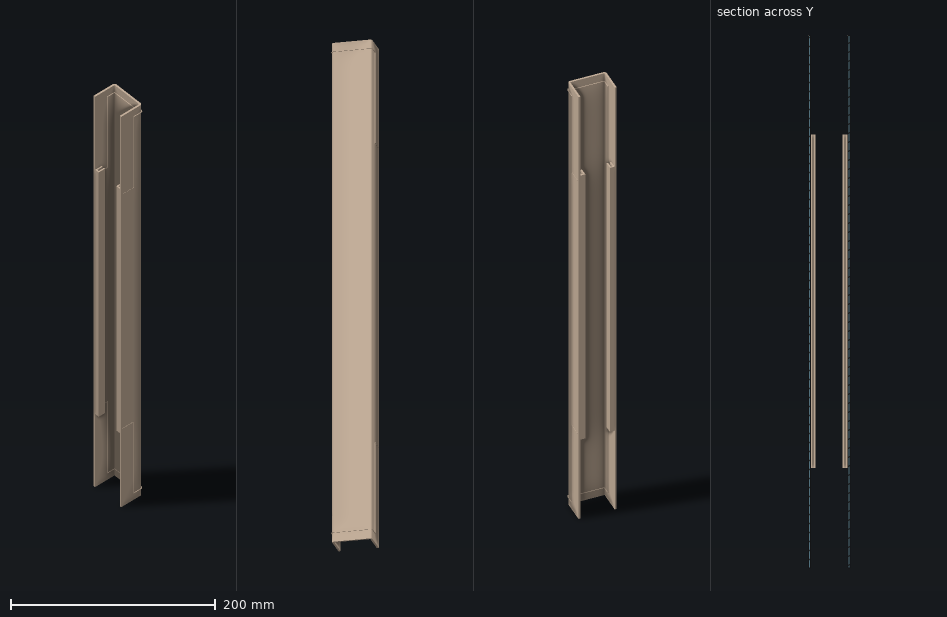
import cadquery as cq

length = 520.0
overall_width = 42.0
overall_depth = 28.0

bead_height = 0.8
wall = 2.0
bend_radius = 2.5
channel_width = overall_width - 2 * bead_height
back_y = overall_depth / 2 - bead_height
front_y = -overall_depth / 2
half_width = channel_width / 2
half_length = length / 2

bead_width = 0.3
turn_bead_height = 0.25
bead_end_offset = 9.5
bead_turn_offset = 104.0
bead_depth = 11.5

trim_end_offset = 97.0
trim_length = length - 2 * trim_end_offset
trim_width = 7.5
trim_depth = 8.5
trim_cap = 1.5
trim_sheet = 1.5


def box_between(x_range, y_range, z_range):
    """Box spanning the given pairs of limits."""
    sizes = [limits[1] - limits[0] for limits in (x_range, y_range, z_range)]
    corner = (x_range[0], y_range[0], z_range[0])
    return cq.Workplane("XY").box(*sizes, centered=False).translate(corner)


def u_section(grow, start_y, end_y, z_range):
    """U-shaped length of wall, thickened by grow on both faces, between two Y limits."""
    outer = half_width + grow
    inner = half_width - wall - grow
    solid = box_between((-outer, outer), (start_y, end_y), z_range)
    solid = solid.edges("|Z and >Y").fillet(bend_radius)
    cavity = box_between((-inner, inner), (start_y, back_y - wall - grow), z_range)
    return solid.cut(cavity)


def side_bead(side, height, y_range, z_range):
    """Bead through one side wall, standing proud of both of its faces."""
    outer = side * (half_width + height)
    inner = side * (half_width - wall - height)
    return box_between(sorted((inner, outer)), y_range, z_range)


def end_bead():
    """Bead around the top end of the channel."""
    half_bead = bead_width / 2
    across_z = half_length - bead_end_offset
    turn_z = half_length - bead_turn_offset
    side_y = back_y - bead_depth
    side_y_range = (side_y - half_bead, side_y + half_bead)
    across_z_range = (across_z - half_bead, across_z + half_bead)
    bead = u_section(bead_height, side_y_range[0], back_y + bead_height, across_z_range)
    along_z_range = (turn_z - half_bead, across_z + half_bead)
    turn_z_range = (turn_z - half_bead, turn_z + half_bead)
    for side in (-1, 1):
        along = side_bead(side, bead_height, side_y_range, along_z_range)
        turn = side_bead(side, turn_bead_height, (front_y, side_y_range[1]), turn_z_range)
        bead = bead.union(along).union(turn)
    return bead


def edge_trim(side):
    """U-shaped trim: its base caps the wall edge and one leg lies on the inner face of the wall."""
    z_range = (-trim_length / 2, trim_length / 2)
    leg_y_range = (front_y + trim_cap, front_y + trim_depth)
    wall_face = half_width - wall
    tip = half_width - trim_width
    cap = box_between((tip, half_width), (front_y, front_y + trim_cap), z_range)
    wall_leg = box_between((wall_face - trim_sheet, wall_face), leg_y_range, z_range)
    free_leg = box_between((tip, tip + trim_sheet), leg_y_range, z_range)
    trim = cap.union(wall_leg).union(free_leg)
    return trim if side > 0 else trim.mirror("YZ")


trims = [edge_trim(side) for side in (-1, 1)]

channel = u_section(0, front_y, back_y, (-half_length, half_length))
top_bead = end_bead()
channel = channel.union(top_bead).union(top_bead.mirror("XY"))
trim_seat = box_between(
    (-overall_width / 2, overall_width / 2),
    (front_y, front_y + trim_cap),
    (-trim_length / 2, trim_length / 2),
)
channel = channel.cut(trim_seat)

result = cq.Compound.makeCompound([channel.val(), *[trim.val() for trim in trims]])